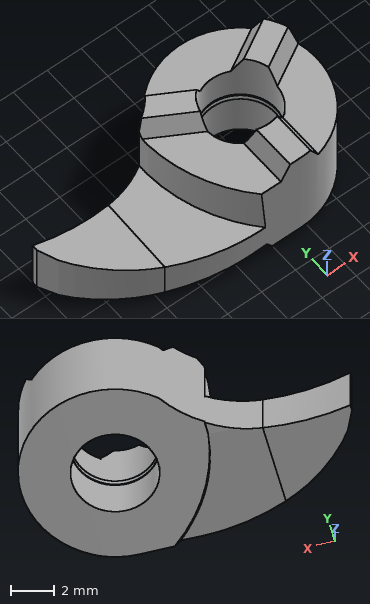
import cadquery as cq
import math

HUB_RADIUS = 4.5
HUB_HEIGHT = 4.72
BORE_RADIUS = 2.06

TOOTH_COUNT = 3
TOOTH_HEIGHT = 0.91
TOOTH_TOP_WIDTH = 1.23
TOOTH_BASE_WIDTH = 2.32
FIRST_TOOTH_ANGLE = 30

GROOVE_HEIGHT = 2.62
GROOVE_WIDTH = 0.38
GROOVE_DEPTH = 0.06

RELIEF_START_X = 1.6
RELIEF_RISE = 0.08

OVERALL_LENGTH = 16
TIP_X = HUB_RADIUS - OVERALL_LENGTH
TIP_Y = 0.96
TIP_FLAT = 0.32
TIP_THICKNESS = 3.0
MID_HEIGHT = 1.14
FALL_ALONG_X = 0.043
FALL_ALONG_Y = 0.069

JOINT_X = -7.25
CONCAVE_BREAK = (JOINT_X, 0.7)
CONVEX_BREAK = (JOINT_X, -3.54)
CONCAVE_TIP_MID = (-9.28, 0.64)
CONCAVE_INNER_MID = (-4.69, 1.63)
CONVEX_TIP_MID = (-9.15, -2.4)
CONVEX_INNER_MID = (-5.25, -4.2)
TIP_CORNER = (-11.04, -0.38)
CONVEX_START = (-10.62, -0.96)
CONCAVE_TANGENT_Y = 3.36
CONCAVE_TANGENT = (-math.sqrt(HUB_RADIUS**2 - CONCAVE_TANGENT_Y**2), CONCAVE_TANGENT_Y)
STRAIGHT_START_X = -2.93

WALL_X = -4.7
WALL_MID = (-4.16, -1.58)
WALL_MID_SHARE = 1 / 3
WALL_END_BOTTOM = -1.66
WALL_END_LOWER = -2.46
WALL_END_UPPER = -2.02
WALL_END_TOP = -2.3
HORN_ROOT_END = -1.89

MARGIN = 1.6


def outline_prism(bottom, top):
    """The outline of hub and horn, extruded between two heights."""
    outline = (
        cq.Workplane("XY", origin=(0, 0, bottom))
        .moveTo(TIP_X, TIP_Y)
        .lineTo(TIP_X, TIP_Y - TIP_FLAT)
        .lineTo(*TIP_CORNER)
        .lineTo(*CONVEX_START)
        .threePointArc(CONVEX_TIP_MID, CONVEX_BREAK)
        .threePointArc(CONVEX_INNER_MID, (STRAIGHT_START_X, -HUB_RADIUS))
        .lineTo(0, -HUB_RADIUS)
        .threePointArc((0, HUB_RADIUS), CONCAVE_TANGENT)
        .threePointArc(CONCAVE_INNER_MID, CONCAVE_BREAK)
        .threePointArc(CONCAVE_TIP_MID, (TIP_X, TIP_Y))
        .close()
    )
    return outline.extrude(top - bottom)


def draw_wall_side(plane, wall_end, far_x):
    """Close a profile between the step wall and a straight line at far_x."""
    far_y = HUB_RADIUS + MARGIN
    mid_x = WALL_MID[0] + WALL_MID_SHARE * (wall_end - WALL_END_TOP)
    return (
        plane.moveTo(far_x, far_y)
        .lineTo(WALL_X, far_y)
        .lineTo(WALL_X, TIP_Y)
        .threePointArc((mid_x, WALL_MID[1]), (wall_end, -HUB_RADIUS))
        .lineTo(wall_end, -far_y)
        .lineTo(far_x, -far_y)
        .close()
    )


def hub_side(bottom, bottom_end, top, top_end):
    """Space on the hub side of the step wall; the wall leans between its two end points."""
    far_x = HUB_RADIUS + MARGIN
    lower = draw_wall_side(cq.Workplane("XY", origin=(0, 0, bottom)), bottom_end, far_x)
    both = draw_wall_side(lower.workplane(offset=top - bottom), top_end, far_x)
    return both.loft(ruled=True, combine=True)


def make_hub():
    lower = hub_side(0, WALL_END_BOTTOM, MID_HEIGHT, WALL_END_LOWER)
    upper = hub_side(MID_HEIGHT, WALL_END_UPPER, HUB_HEIGHT, WALL_END_TOP)
    prism = outline_prism(0, HUB_HEIGHT)
    return prism.intersect(lower).union(prism.intersect(upper))


def horn_wedge(slope_y, low_y, high_y):
    """Tapered slab between two Y planes; slope_y is the half-thickness gained per unit of Y."""
    sections = []
    for x in (TIP_X, 0):
        corners = []
        for y, side in ((low_y, -1), (high_y, -1), (high_y, 1), (low_y, 1)):
            half = TIP_THICKNESS / 2 - FALL_ALONG_X * (x - TIP_X) + slope_y * (y - TIP_Y)
            corners.append(cq.Vector(x, y, MID_HEIGHT + side * half))
        sections.append(cq.Wire.makePolygon(corners, close=True))
    return cq.Workplane(cq.Solid.makeLoft(sections, True))


def make_horn():
    sloped = horn_wedge(FALL_ALONG_Y, -HUB_RADIUS - MARGIN, TIP_Y)
    level = horn_wedge(0, TIP_Y, HUB_RADIUS + MARGIN)
    root = draw_wall_side(cq.Workplane("XY", origin=(0, 0, -MARGIN)), HORN_ROOT_END, TIP_X - MARGIN)
    footprint = outline_prism(-MARGIN, HUB_HEIGHT).intersect(root.extrude(HUB_HEIGHT + MARGIN))
    return footprint.intersect(sloped.union(level))


def make_teeth():
    """Radial trapezoid ridges, trimmed to the hub's side of the outline."""
    bars = cq.Workplane("XY")
    for i in range(TOOTH_COUNT):
        bar = (
            cq.Workplane("YZ", origin=(0, 0, HUB_HEIGHT))
            .moveTo(-TOOTH_BASE_WIDTH / 2, 0)
            .lineTo(TOOTH_BASE_WIDTH / 2, 0)
            .lineTo(TOOTH_TOP_WIDTH / 2, TOOTH_HEIGHT)
            .lineTo(-TOOTH_TOP_WIDTH / 2, TOOTH_HEIGHT)
            .close()
            .extrude(HUB_RADIUS + MARGIN)
            .rotate((0, 0, 0), (0, 0, 1), FIRST_TOOTH_ANGLE + i * 360 / TOOTH_COUNT)
        )
        bars = bars.union(bar)
    top = HUB_HEIGHT + TOOTH_HEIGHT
    limits = outline_prism(HUB_HEIGHT, top).intersect(
        hub_side(HUB_HEIGHT, WALL_END_TOP, top, WALL_END_TOP)
    )
    return bars.intersect(limits)


def make_bore():
    """The through bore with its V groove, as one turned cutter."""
    half_width = GROOVE_WIDTH / 2
    return (
        cq.Workplane("XZ")
        .lineTo(BORE_RADIUS, 0)
        .lineTo(BORE_RADIUS, GROOVE_HEIGHT - half_width)
        .lineTo(BORE_RADIUS + GROOVE_DEPTH, GROOVE_HEIGHT)
        .lineTo(BORE_RADIUS, GROOVE_HEIGHT + half_width)
        .lineTo(BORE_RADIUS, HUB_HEIGHT + TOOTH_HEIGHT)
        .lineTo(0, HUB_HEIGHT + TOOTH_HEIGHT)
        .close()
        .revolve(360, (0, 0, 0), (0, 1, 0))
    )


def make_underside_relief():
    """Thin wedge removed from the underside of the hub."""
    return (
        cq.Workplane("XZ")
        .moveTo(RELIEF_START_X, 0)
        .lineTo(HUB_RADIUS, 0)
        .lineTo(HUB_RADIUS, RELIEF_RISE)
        .close()
        .extrude(HUB_RADIUS + MARGIN, both=True)
    )


def tip_space():
    """Box that holds everything on the tip side of the joint plane."""
    length = JOINT_X - TIP_X + MARGIN
    size = 2 * (HUB_RADIUS + MARGIN)
    return cq.Workplane("XY").box(length, size, size).translate((JOINT_X - length / 2, 0, 0))


def make_lever():
    """Hub, teeth and the root of the horn, up to the joint plane."""
    root = make_horn().cut(tip_space())
    body = make_hub().union(root).union(make_teeth())
    return body.cut(make_bore()).cut(make_underside_relief())


def make_tip():
    """The pointed end of the horn, beyond the joint plane."""
    return make_horn().intersect(tip_space())


lever = make_lever()
tip = make_tip()
result = cq.Compound.makeCompound([lever.solids().val(), tip.solids().val()])